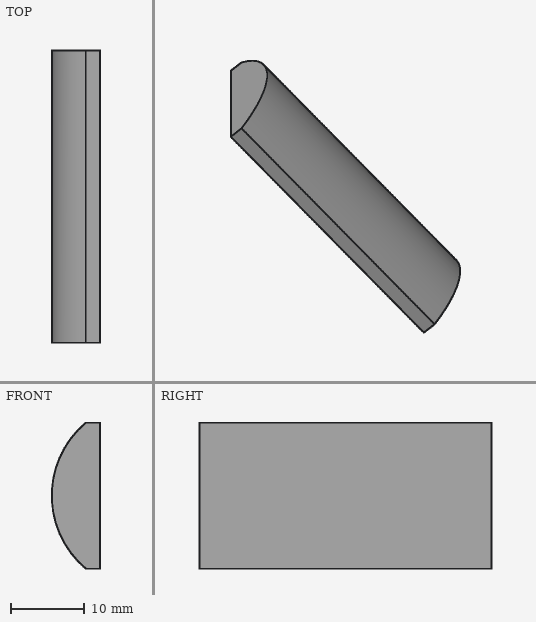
import cadquery as cq

length = 40.0
height = 20.0
thickness = 6.65
edge_thickness = 1.95

half_height = height / 2
back_x = thickness / 2
crown_x = -thickness / 2
edge_x = back_x - edge_thickness

result = (
    cq.Workplane("XZ")
    .moveTo(back_x, -half_height)
    .lineTo(back_x, half_height)
    .lineTo(edge_x, half_height)
    .threePointArc((crown_x, 0), (edge_x, -half_height))
    .close()
    .extrude(length / 2, both=True)
)